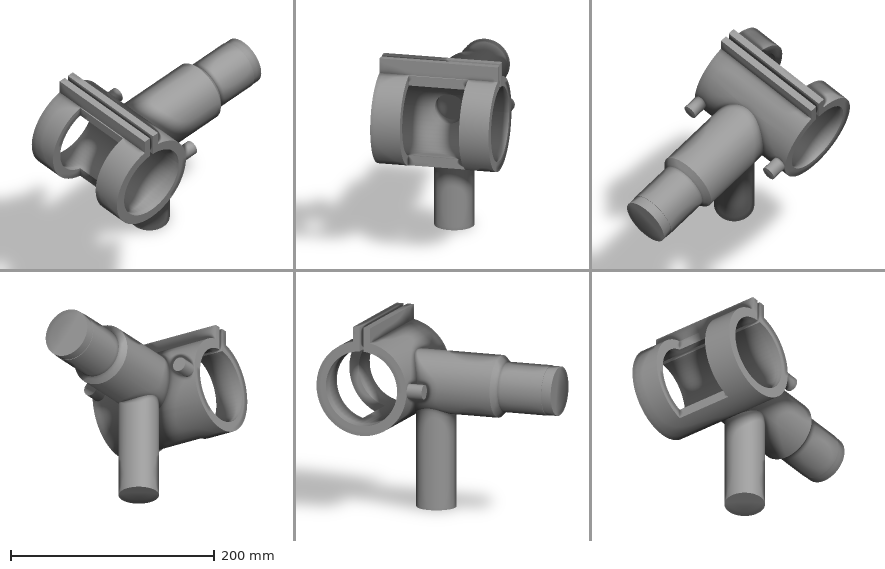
import cadquery as cq

overall_length = 233.5
overall_height = 187.7

clamp_length = 120.0
ring_outer_diameter = 95.0
ring_outer_radius = ring_outer_diameter / 2
ring_bore_radius = 37.5

lug_thickness = 7.0
slit_width = 4.2
lug_top = 61.6

window_width = 60.0
window_back = -10.0

sleeve_diameter = 62.0
sleeve_end = 130.0
socket_floor = ring_outer_radius
sight_hole_diameter = 30.1

shaft_diameter = 50.0
sleeve_chamfer = (sleeve_diameter - shaft_diameter) / 2
shaft_tip_diameter = 49.0
shaft_tip_length = 10.0
shaft_end = overall_length - ring_outer_radius

handle_diameter = 40.0
handle_center_y = 56.0
handle_bottom = lug_top - overall_height

peg_diameter = 14.5
peg_end = 63.3
peg_edge_distance = 7.7


def cylinder_along_y(diameter, start, end, x=0):
    """Solid cylinder parallel to Y, at height zero."""
    axis_start = cq.Vector(x, start, 0)
    return cq.Workplane(cq.Solid.makeCylinder(diameter / 2, end - start, axis_start, cq.Vector(0, 1, 0)))


def cylinder_along_x(radius):
    """Solid cylinder around the clamp axis, as long as the clamp."""
    return cq.Workplane("YZ").circle(radius).extrude(clamp_length / 2, both=True)


def upright_slab(width):
    """Block from the clamp axis up to the lug tops, centered on Y."""
    return cq.Workplane("XY").box(clamp_length, width, lug_top, centered=(True, True, False))


def make_window():
    """Cutter that opens the -Y wall between the two end bands."""
    depth = ring_outer_radius + window_back
    center_y = window_back - depth / 2
    return cq.Workplane("XY").box(window_width, depth, 2 * ring_outer_radius).translate((0, center_y, 0))


def make_sleeve():
    sleeve = cylinder_along_y(sleeve_diameter, 0, sleeve_end)
    return sleeve.faces(">Y").chamfer(sleeve_chamfer)


def make_handle():
    start = cq.Workplane("XY").center(0, handle_center_y)
    return start.circle(handle_diameter / 2).extrude(handle_bottom)


def make_clamp():
    """Ring with its lugs, window, sleeve, handle and pegs."""
    body = cylinder_along_x(ring_outer_radius).cut(make_window())
    body = body.union(upright_slab(2 * lug_thickness + slit_width))
    body = body.union(make_sleeve()).union(make_handle())
    peg_x = clamp_length / 2 - peg_edge_distance
    for x in (-peg_x, peg_x):
        body = body.union(cylinder_along_y(peg_diameter, 0, peg_end, x))

    body = body.cut(cylinder_along_x(ring_bore_radius)).cut(upright_slab(slit_width))
    body = body.cut(cylinder_along_y(sight_hole_diameter, 0, socket_floor))
    return body.cut(cylinder_along_y(shaft_diameter, socket_floor, sleeve_end))


def make_shaft():
    """Round shaft that rests on the socket floor and has a reduced tip."""
    tip_start = shaft_end - shaft_tip_length
    shaft = cylinder_along_y(shaft_diameter, socket_floor, tip_start)
    return shaft.union(cylinder_along_y(shaft_tip_diameter, tip_start, shaft_end))


clamp = make_clamp()
shaft = make_shaft()

result = cq.Compound.makeCompound([clamp.solids().val(), shaft.solids().val()])